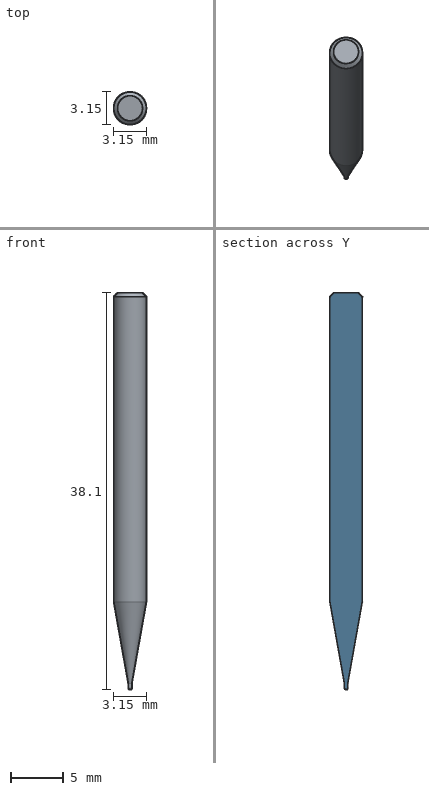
import cadquery as cq
import math

total_length = 38.1
shank_diameter = 3.15
chamfer_size = 0.4
taper_top = 8.45
tip_diameter = 0.4
tip_top = 0.65

shank_radius = shank_diameter / 2
tip_radius = tip_diameter / 2

nose_mid = (
    tip_radius * math.sin(math.pi / 4),
    tip_radius * (1 - math.cos(math.pi / 4)),
)

half_section = (
    cq.Workplane("XZ")
    .moveTo(0, 0)
    .threePointArc(nose_mid, (tip_radius, tip_radius))
    .lineTo(tip_radius, tip_top)
    .lineTo(shank_radius, taper_top)
    .lineTo(shank_radius, total_length - chamfer_size)
    .lineTo(shank_radius - chamfer_size, total_length)
    .lineTo(0, total_length)
    .close()
)

result = half_section.revolve(360, (0, 0, 0), (0, 1, 0))